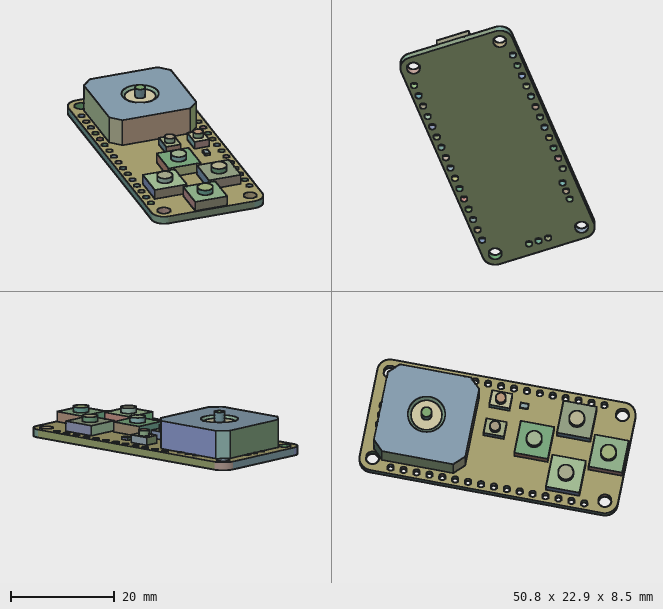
import cadquery as cq

BOARD_LENGTH = 50.8
BOARD_WIDTH = 22.85
BOARD_THICKNESS = 1.6
BOARD_CORNER_RADIUS = 2.55
MOUNT_HOLE_DIAMETER = 2.55
MOUNT_HOLE_INSET = 2.55

HEADER_HOLE_DIAMETER = 1.25
HEADER_PITCH = 2.55
HEADER_EDGE_DISTANCE = 1.25
HEADER_LAST_X = 19.05
BACK_ROW_COUNT = 12
FRONT_ROW_COUNT = 16

TOTAL_HEIGHT = 8.5
JOYSTICK_X = -13.95
JOYSTICK_SIDE = 18.0
JOYSTICK_HEIGHT = 5.5
JOYSTICK_CORNER_CHAMFER = 2.0
RECESS_TOP_DIAMETER = 7.2
RECESS_FLOOR_DIAMETER = 6.0
RECESS_DEPTH = 0.5
STICK_DIAMETER = 2.0
JOYSTICK_TOP_Z = BOARD_THICKNESS + JOYSTICK_HEIGHT
RECESS_FLOOR_Z = JOYSTICK_TOP_Z - RECESS_DEPTH

TERMINAL_HOLE_DIAMETER = 1.25
TERMINAL_PITCH = 2.0
TERMINALS_PER_SIDE = 3

BUTTON_SIDE = 6.6
BUTTON_HEIGHT = 2.0
BUTTON_PLUNGER_DIAMETER = 3.0
BUTTON_PLUNGER_HEIGHT = 1.0
DIAMOND_X = 14.55
DIAMOND_REACH_X = 7.3
DIAMOND_REACH_Y = 5.6
BUTTON_CENTERS = [
    (DIAMOND_X - DIAMOND_REACH_X, 0),
    (DIAMOND_X + DIAMOND_REACH_X, 0),
    (DIAMOND_X, -DIAMOND_REACH_Y),
    (DIAMOND_X, DIAMOND_REACH_Y),
]

SWITCH_LENGTH = 4.0
SWITCH_WIDTH = 3.0
SWITCH_HEIGHT = 1.5
SWITCH_PLUNGER_DIAMETER = 2.0
SWITCH_PLUNGER_HEIGHT = 1.0
SWITCH_X = -0.7
SWITCH_FRONT_Y = 1.15
SWITCH_BACK_Y = 7.0

CHIP_LENGTH = 1.6
CHIP_WIDTH = 1.0
CHIP_HEIGHT = 0.45
CHIP_X = 3.9
CHIP_Y = 6.95


def centered_run(count, pitch):
    """Positions of evenly pitched items centred on zero."""
    return [(i - (count - 1) / 2) * pitch for i in range(count)]


def header_row(count, y):
    """Hole centres of a header row that ends at HEADER_LAST_X."""
    return [(HEADER_LAST_X - i * HEADER_PITCH, y) for i in range(count)]


def terminal_centers():
    """Hole centres on the back and left edges of the joystick."""
    half_side = JOYSTICK_SIDE / 2
    offsets = centered_run(TERMINALS_PER_SIDE, TERMINAL_PITCH)
    back_side = [(JOYSTICK_X + offset, half_side) for offset in offsets]
    left_side = [(JOYSTICK_X - half_side, offset) for offset in offsets]
    return back_side + left_side


def drill(body, centers, diameter):
    """Cut vertical holes through the board."""
    cutters = (
        cq.Workplane("XY")
        .pushPoints(centers)
        .circle(diameter / 2)
        .extrude(BOARD_THICKNESS)
    )
    return body.cut(cutters)


def make_board():
    mount_x = BOARD_LENGTH / 2 - MOUNT_HOLE_INSET
    mount_y = BOARD_WIDTH / 2 - MOUNT_HOLE_INSET
    mount_centers = [(sx * mount_x, sy * mount_y) for sx in (-1, 1) for sy in (-1, 1)]
    header_y = BOARD_WIDTH / 2 - HEADER_EDGE_DISTANCE
    header_centers = header_row(BACK_ROW_COUNT, header_y) + header_row(FRONT_ROW_COUNT, -header_y)

    body = (
        cq.Workplane("XY")
        .rect(BOARD_LENGTH, BOARD_WIDTH)
        .extrude(BOARD_THICKNESS)
        .edges("|Z")
        .fillet(BOARD_CORNER_RADIUS)
    )
    body = drill(body, mount_centers, MOUNT_HOLE_DIAMETER)
    body = drill(body, header_centers, HEADER_HOLE_DIAMETER)
    return drill(body, terminal_centers(), TERMINAL_HOLE_DIAMETER)


def make_joystick():
    """Square housing with cut corners, a conical recess and a stick rising from its floor."""
    housing = (
        cq.Workplane("XY", origin=(JOYSTICK_X, 0, BOARD_THICKNESS))
        .rect(JOYSTICK_SIDE, JOYSTICK_SIDE)
        .extrude(JOYSTICK_HEIGHT)
        .edges("|Z")
        .chamfer(JOYSTICK_CORNER_CHAMFER)
    )
    recess = (
        cq.Workplane("XY", origin=(JOYSTICK_X, 0, RECESS_FLOOR_Z))
        .circle(RECESS_FLOOR_DIAMETER / 2)
        .workplane(offset=RECESS_DEPTH)
        .circle(RECESS_TOP_DIAMETER / 2)
        .loft(ruled=True)
    )
    stick = (
        cq.Workplane("XY", origin=(JOYSTICK_X, 0, RECESS_FLOOR_Z))
        .circle(STICK_DIAMETER / 2)
        .extrude(TOTAL_HEIGHT - RECESS_FLOOR_Z)
    )
    return housing.cut(recess).union(stick)


def make_block(center, length, width, height):
    """Rectangular block standing on the board."""
    return (
        cq.Workplane("XY", origin=(*center, BOARD_THICKNESS))
        .rect(length, width)
        .extrude(height)
    )


def add_plunger(block, diameter, height):
    """Add a round plunger to the middle of a block's top face."""
    return block.faces(">Z").workplane(centerOption="CenterOfMass").circle(diameter / 2).extrude(height)


def make_button(center):
    block = make_block(center, BUTTON_SIDE, BUTTON_SIDE, BUTTON_HEIGHT)
    return add_plunger(block, BUTTON_PLUNGER_DIAMETER, BUTTON_PLUNGER_HEIGHT)


def make_switch(center):
    block = make_block(center, SWITCH_LENGTH, SWITCH_WIDTH, SWITCH_HEIGHT)
    return add_plunger(block, SWITCH_PLUNGER_DIAMETER, SWITCH_PLUNGER_HEIGHT)


board = make_board()
joystick = make_joystick()
buttons = [make_button(center) for center in BUTTON_CENTERS]
switches = [make_switch((SWITCH_X, y)) for y in (SWITCH_FRONT_Y, SWITCH_BACK_Y)]
chip = make_block((CHIP_X, CHIP_Y), CHIP_LENGTH, CHIP_WIDTH, CHIP_HEIGHT)

result = cq.Compound.makeCompound([
    board.val(),
    joystick.val(),
    *[button.val() for button in buttons],
    *[switch.val() for switch in switches],
    chip.val(),
])